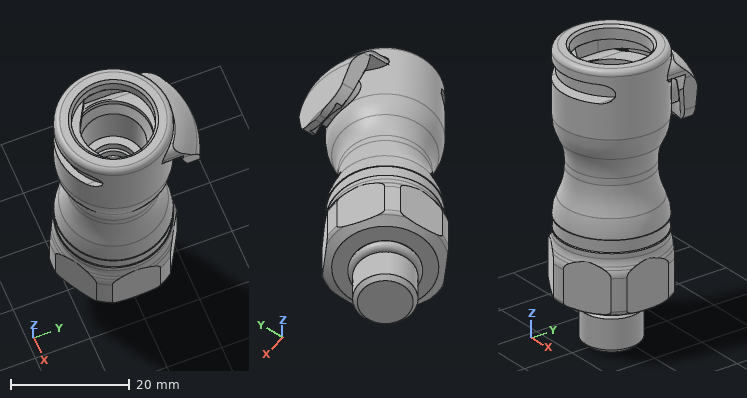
import cadquery as cq
import math

height = 56.0
body_radius = 10.165
rim_fillet = 1.05
waist_radius = 8.0
waist_bottom = 33.2
lower_inflection = 27.6
waist_top = 34.55
upper_curve_top = 42.95
lower_curve_bottom = 23.9
band_radius = 10.0
band_bottom = 21.4
band_chamfer = 0.15

nut_bottom = 9.2
nut_flats = 20.65
nut_corner_radius = 11.23
nut_base_radius = 9.1
nut_base_angle = 30.0
nut_base_fillet = 0.85
nut_shoulder_bottom = 17.2
nut_cone_bottom = 18.55
nut_cone_top = 19.05
nut_neck_bottom = 20.4

thread_radius = 5.55
thread_end_radius = 4.735
thread_top = 6.65
ring_radius = 5.3
ring_section_radius = 1.0
ring_height = 8.35

mouth_radius = 7.14
mouth_chamfer = 0.5
seat_radius = 6.85
seat_cone_top = 48.75
seat_cone_bottom = 47.3
bore_radius = 5.685
bore_floor = 39.2
step_radius = 4.2
step_floor = 37.5
well_radius = 3.7
well_floor = 35.85

slot_half_width = 8.55
slot_bottom = 49.75
slot_top = 53.4

latch_half_width = 8.4
plate_bottom = 50.85
plate_edge_round = 1.75
plate_shift = 0.87
opening_shift = 2.45
catch_angle = 30.0
tab_axis = -1.1
tab_top = 10.35
tab_outer = 14.59
tab_bend = (14.05, 49.1)
tab_bend_middle = (12.7, 51.25)
tab_straight_top = 47.19
tab_inner_top = (9.35, 48.45)
tab_inner_bottom = (11.8, 39.75)
tab_flank_top = 50.25
tab_bottom_half_width = 4.7
tab_corner_radius = 5.6
tab_inner_apex = 10.35
tab_inner_radius = 34.7
hollow_top = 48.15
hollow_top_radius = 11.25
hollow_bottom_radius = 12.5
boss_width = 10.1
boss_bottom = 42.5
boss_top = 49.7
boss_root = 12.05
lip_inner = 13.0
lip_bottom = 38.75
lip_fillet = 0.35


def cylinder(radius, bottom, top):
    return cq.Workplane("XY").workplane(offset=bottom).circle(radius).extrude(top - bottom)


def between(start, end, fraction):
    return start + (end - start) * fraction


def make_sleeve():
    """Waisted body above the nut, solid of revolution with tangent arcs."""
    upper_inflection = between(waist_top, upper_curve_top, 0.5)
    lower_share = (lower_inflection - lower_curve_bottom) / (waist_bottom - lower_curve_bottom)
    lower_inflection_radius = between(body_radius, waist_radius, lower_share)
    upper_inflection_radius = between(waist_radius, body_radius, 0.5)
    return (
        cq.Workplane("XZ")
        .moveTo(0, height)
        .lineTo(body_radius, height)
        .lineTo(body_radius, upper_curve_top)
        .tangentArcPoint((upper_inflection_radius, upper_inflection), relative=False)
        .tangentArcPoint((waist_radius, waist_top), relative=False)
        .lineTo(waist_radius, waist_bottom)
        .tangentArcPoint((lower_inflection_radius, lower_inflection), relative=False)
        .tangentArcPoint((body_radius, lower_curve_bottom), relative=False)
        .lineTo(band_radius, lower_curve_bottom)
        .lineTo(band_radius, band_bottom + band_chamfer)
        .lineTo(body_radius, band_bottom)
        .lineTo(body_radius, nut_neck_bottom)
        .lineTo(0, nut_neck_bottom)
        .close()
        .revolve(360, (0, 0, 0), (0, 1, 0))
        .faces(">Z")
        .edges()
        .fillet(rim_fillet)
    )


def make_nut():
    """Hexagon trimmed by a turned envelope that rounds its corners."""
    base_rise = (nut_corner_radius - nut_base_radius) * math.tan(math.radians(nut_base_angle))
    base_corner = nut_bottom + base_rise
    selection_reach = 2 * nut_corner_radius
    selection_height = base_rise / 10
    shoulder_share = (nut_cone_bottom - nut_shoulder_bottom) / (
        nut_neck_bottom - nut_shoulder_bottom + nut_cone_top - nut_cone_bottom
    )
    shoulder_drop = (nut_corner_radius - body_radius) * shoulder_share
    cone_bottom_radius = nut_corner_radius - shoulder_drop
    cone_top_radius = body_radius + shoulder_drop
    base_edge = cq.selectors.BoxSelector(
        (-selection_reach, -selection_reach, base_corner - selection_height),
        (selection_reach, selection_reach, base_corner + selection_height),
        boundingbox=True,
    )
    envelope = (
        cq.Workplane("XZ")
        .moveTo(0, nut_bottom)
        .lineTo(nut_base_radius, nut_bottom)
        .lineTo(nut_corner_radius, base_corner)
        .lineTo(nut_corner_radius, nut_shoulder_bottom)
        .tangentArcPoint((cone_bottom_radius, nut_cone_bottom), relative=False)
        .lineTo(cone_top_radius, nut_cone_top)
        .tangentArcPoint((body_radius, nut_neck_bottom), relative=False)
        .lineTo(0, nut_neck_bottom)
        .close()
        .revolve(360, (0, 0, 0), (0, 1, 0))
        .edges(base_edge)
        .fillet(nut_base_fillet)
    )
    hexagon = (
        cq.Workplane("XY")
        .workplane(offset=nut_bottom)
        .polygon(6, nut_flats, circumscribed=True)
        .extrude(nut_neck_bottom - nut_bottom)
    )
    return envelope.intersect(hexagon)


def make_threaded_end():
    """Chamfered stud, its neck and the sealing ring bulging from the neck."""
    chamfer = thread_radius - thread_end_radius
    stud = cylinder(thread_radius, 0, thread_top + chamfer).faces("<Z or >Z").edges().chamfer(chamfer)
    neck = cylinder(thread_end_radius, thread_top, nut_bottom)
    ring_reach = math.sqrt(ring_section_radius**2 - (ring_radius - thread_end_radius) ** 2)
    ring = (
        cq.Workplane("XZ")
        .moveTo(0, ring_height - ring_reach)
        .lineTo(thread_end_radius, ring_height - ring_reach)
        .threePointArc(
            (ring_radius + ring_section_radius, ring_height),
            (thread_end_radius, ring_height + ring_reach),
        )
        .lineTo(0, ring_height + ring_reach)
        .close()
        .revolve(360, (0, 0, 0), (0, 1, 0))
    )
    return stud.union(neck).union(ring)


def make_socket():
    """Turned opening that the mating plug enters."""
    return (
        cq.Workplane("XZ")
        .moveTo(0, well_floor)
        .lineTo(well_radius, well_floor)
        .lineTo(well_radius, step_floor)
        .lineTo(step_radius, step_floor)
        .lineTo(step_radius, bore_floor)
        .lineTo(bore_radius, bore_floor)
        .lineTo(bore_radius, seat_cone_bottom)
        .lineTo(seat_radius, seat_cone_top)
        .lineTo(seat_radius, slot_bottom)
        .lineTo(mouth_radius, slot_bottom)
        .lineTo(mouth_radius, height - mouth_chamfer)
        .lineTo(mouth_radius + mouth_chamfer, height)
        .lineTo(0, height)
        .close()
        .revolve(360, (0, 0, 0), (0, 1, 0))
    )


def make_latch_slot():
    slot_height = slot_top - slot_bottom
    return (
        cq.Workplane("XZ")
        .center(0, slot_bottom + slot_height / 2)
        .slot2D(2 * slot_half_width, slot_height)
        .extrude(2 * body_radius, both=True)
    )


def make_housing():
    solid = make_sleeve().union(make_nut()).union(make_threaded_end())
    return solid.cut(make_socket()).cut(make_latch_slot())


def make_latch_side_shape():
    """Plate and hanging tab as one bent section, as wide as the latch."""
    return (
        cq.Workplane("YZ")
        .moveTo(-body_radius, slot_top)
        .lineTo(-body_radius, plate_bottom)
        .lineTo(tab_inner_top[0], plate_bottom)
        .lineTo(*tab_inner_top)
        .lineTo(*tab_inner_bottom)
        .lineTo(lip_inner, tab_inner_bottom[1])
        .lineTo(lip_inner, lip_bottom)
        .lineTo(tab_outer, lip_bottom)
        .lineTo(tab_outer, slot_top)
        .close()
        .extrude(latch_half_width, both=True)
    )


def make_latch_front_shape():
    """Outline across the latch: rounded plate edges, tapered tab flanks and rounded lower corners."""
    return (
        cq.Workplane("XZ")
        .moveTo(-tab_bottom_half_width, lip_bottom)
        .lineTo(tab_bottom_half_width, lip_bottom)
        .lineTo(latch_half_width, tab_flank_top)
        .lineTo(latch_half_width, slot_top)
        .lineTo(-latch_half_width, slot_top)
        .lineTo(-latch_half_width, tab_flank_top)
        .close()
        .extrude(2 * tab_outer, both=True)
        .edges("|Y and >Z")
        .fillet(plate_edge_round)
        .edges("|Y and <Z")
        .fillet(tab_corner_radius)
    )


def make_latch_plan_shape():
    """Outline from above: rounded front and straight sides."""
    rear = (
        cq.Workplane("XY")
        .workplane(offset=lip_bottom)
        .center(0, tab_outer / 2)
        .rect(2 * latch_half_width, tab_outer)
        .extrude(slot_top - lip_bottom)
    )
    front = cylinder(body_radius, lip_bottom, slot_top).translate((0, plate_shift, 0))
    return rear.union(front)


def make_latch_outer_surface():
    """Turned envelope that curves the outside of the bend and of the tab."""
    return (
        cq.Workplane("XZ")
        .moveTo(0, slot_top)
        .lineTo(tab_top - tab_axis, slot_top)
        .threePointArc(
            (tab_bend_middle[0] - tab_axis, tab_bend_middle[1]),
            (tab_bend[0] - tab_axis, tab_bend[1]),
        )
        .tangentArcPoint((tab_outer - tab_axis, tab_straight_top), relative=False)
        .lineTo(tab_outer - tab_axis, lip_bottom)
        .lineTo(0, lip_bottom)
        .close()
        .revolve(360, (0, 0, 0), (0, 1, 0))
        .faces("<Z")
        .edges()
        .fillet(lip_fillet)
        .translate((0, tab_axis, 0))
    )


def make_latch_opening():
    """Opening for the plug: its narrow front arc is the catch."""
    angle = math.radians(catch_angle)
    catch_x = bore_radius * math.sin(angle)
    catch_y = -bore_radius * math.cos(angle)
    flare_y = catch_y + (mouth_radius - catch_x) * math.tan(angle)
    return (
        cq.Workplane("XY")
        .workplane(offset=plate_bottom)
        .moveTo(-catch_x, catch_y)
        .threePointArc((0, -bore_radius), (catch_x, catch_y))
        .lineTo(mouth_radius, flare_y)
        .lineTo(mouth_radius, opening_shift)
        .threePointArc((0, opening_shift + mouth_radius), (-mouth_radius, opening_shift))
        .lineTo(-mouth_radius, flare_y)
        .close()
        .extrude(slot_top - plate_bottom)
    )


def make_tab_hollow():
    """Shallow curve behind the tab, deepened by a cone that widens downward."""
    curve = cylinder(tab_inner_radius, lip_bottom, plate_bottom)
    cone = (
        cq.Workplane("XZ")
        .moveTo(0, lip_bottom)
        .lineTo(hollow_bottom_radius, lip_bottom)
        .lineTo(hollow_top_radius, hollow_top)
        .lineTo(0, hollow_top)
        .close()
        .revolve(360, (0, 0, 0), (0, 1, 0))
    )
    return curve.translate((0, tab_inner_apex - tab_inner_radius, 0)).union(cone)


def make_tab_boss():
    """Boss with round ends that bears on the outside of the housing."""
    boss_height = boss_top - boss_bottom
    return (
        cq.Workplane("XZ")
        .center(0, boss_bottom + boss_height / 2)
        .slot2D(boss_width, boss_height)
        .extrude(-boss_root)
        .cut(cylinder(body_radius, lip_bottom, slot_top))
    )


def make_latch():
    return (
        make_latch_side_shape()
        .intersect(make_latch_front_shape())
        .intersect(make_latch_plan_shape())
        .intersect(make_latch_outer_surface())
        .cut(make_tab_hollow())
        .union(make_tab_boss())
        .cut(make_latch_opening())
    )


housing = make_housing()
latch = make_latch()
result = cq.Compound.makeCompound([housing.val(), latch.val()])